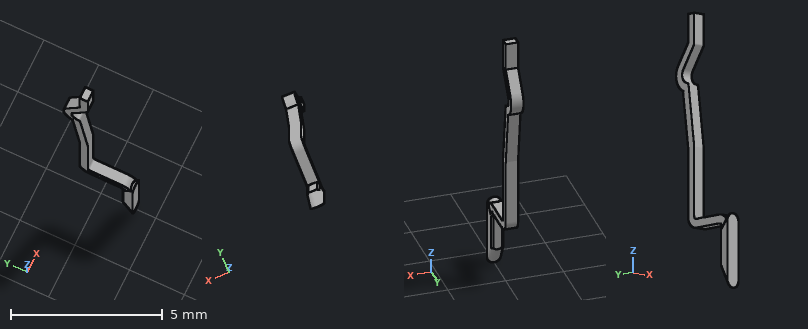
import cadquery as cq
import math

height = 9.4
depth = 2.55
pad_width = 0.5
pad_back_width = 0.42

strip_width = 0.43
thickness = 0.3
stem_front = 1.65
stem_back = stem_front + thickness
arm_top = 2.49
arm_bottom = arm_top - thickness
bend_inner_radius = 0.09
bend_outer_radius = bend_inner_radius + thickness
pad_bend_inner_radius = 0.15

bulge_inner_radius = 0.3
bulge_outer_radius = bulge_inner_radius + thickness
bulge_y = depth - bulge_outer_radius
bulge_z = 7.39
upper_lean = math.radians(34.5)
lower_lean = math.radians(7.5)
lean_start_z = 4.92
front_corner_radius = 0.09

pad_depth = 0.42
pad_top = 2.5
pad_top_slope = math.radians(45)
pad_bottom_slope = math.radians(60)
pad_edge_chamfer = 0.07


def bulge_point(radius, angle):
    """Point (Y, Z) on a circle about the bulge centre, angle taken from +Y."""
    return (bulge_y + radius * math.cos(angle), bulge_z + radius * math.sin(angle))


def upper_corner(face_y, radius):
    """Point where the line tangent to the bulge meets a face of the upper tip."""
    rise = (radius - (face_y - bulge_y) * math.cos(upper_lean)) / math.sin(upper_lean)
    return (face_y, bulge_z + rise)


def lower_end_angle(face_y, corner_z, radius):
    """Angle at which a face of the lower leaning leg meets the bulge circle."""
    offset = (face_y - bulge_y) * math.cos(lower_lean)
    offset += (bulge_z - corner_z) * math.sin(lower_lean)
    return -lower_lean - math.acos(offset / radius)


def bulge_arc(radius, end_angle):
    """Start, middle and end of a bulge arc, from the upper tangent point downward."""
    middle_angle = (upper_lean + end_angle) / 2
    return [bulge_point(radius, angle) for angle in (upper_lean, middle_angle, end_angle)]


def make_strip():
    back_lean_z = lean_start_z - thickness * math.tan(lower_lean / 2)
    outer_end = lower_end_angle(stem_back, back_lean_z, bulge_outer_radius)
    inner_end = lower_end_angle(stem_front, lean_start_z, bulge_inner_radius)
    outer_arc = bulge_arc(bulge_outer_radius, outer_end)
    inner_arc = bulge_arc(bulge_inner_radius, inner_end)

    stem_bend_y = stem_front - bend_inner_radius
    stem_bend_z = arm_top + bend_inner_radius
    pad_bend_y = pad_bend_inner_radius + thickness
    pad_bend_z = arm_top - pad_bend_y
    diagonal = math.sqrt(0.5)
    outer_diagonal = bend_outer_radius * diagonal
    inner_diagonal = bend_inner_radius * diagonal
    pad_outer_diagonal = pad_bend_y * diagonal
    pad_inner_diagonal = pad_bend_inner_radius * diagonal

    profile = (
        cq.Workplane("YZ")
        .moveTo(stem_front, height)
        .lineTo(stem_back, height)
        .lineTo(*upper_corner(stem_back, bulge_outer_radius))
        .lineTo(*outer_arc[0])
        .threePointArc(outer_arc[1], outer_arc[2])
        .lineTo(stem_back, back_lean_z)
        .lineTo(stem_back, stem_bend_z)
        .threePointArc(
            (stem_bend_y + outer_diagonal, stem_bend_z - outer_diagonal),
            (stem_bend_y, arm_bottom),
        )
        .lineTo(pad_bend_y, arm_bottom)
        .threePointArc(
            (pad_bend_y - pad_inner_diagonal, pad_bend_z + pad_inner_diagonal),
            (thickness, pad_bend_z),
        )
        .lineTo(0, pad_bend_z)
        .threePointArc(
            (pad_bend_y - pad_outer_diagonal, pad_bend_z + pad_outer_diagonal),
            (pad_bend_y, arm_top),
        )
        .lineTo(stem_bend_y, arm_top)
        .threePointArc(
            (stem_bend_y + inner_diagonal, stem_bend_z - inner_diagonal),
            (stem_front, stem_bend_z),
        )
        .lineTo(stem_front, lean_start_z)
        .lineTo(*inner_arc[2])
        .threePointArc(inner_arc[1], inner_arc[0])
        .lineTo(*upper_corner(stem_front, bulge_inner_radius))
        .close()
    )
    strip = profile.extrude(strip_width / 2, both=True)

    upper_front_corner = upper_corner(stem_front, bulge_inner_radius)
    for y, z in (upper_front_corner, inner_arc[2]):
        corner_edge = cq.selectors.NearestToPointSelector((0, y, z))
        strip = strip.edges(corner_edge).fillet(front_corner_radius)
    return strip


def pad_outline(y, width, bottom, top):
    """Closed outline in the XZ plane: straight sides with half-round ends."""
    radius = width / 2
    return (
        cq.Workplane("XZ", origin=(0, y, 0))
        .moveTo(-radius, bottom + radius)
        .threePointArc((0, bottom), (radius, bottom + radius))
        .lineTo(radius, top - radius)
        .threePointArc((0, top), (-radius, top - radius))
        .close()
        .wires()
        .val()
    )


def make_pad():
    back_top = pad_top - pad_depth * math.tan(pad_top_slope)
    back_bottom = pad_depth * math.tan(pad_bottom_slope)
    front = pad_outline(0, pad_width, 0, pad_top)
    back = pad_outline(pad_depth, pad_back_width, back_bottom, back_top)
    pad = cq.Workplane(cq.Solid.makeLoft([front, back], True))

    half_width = pad_width / 2
    bevel_back_x = strip_width / 2 - pad_edge_chamfer
    bevel_front_y = pad_depth - (half_width - bevel_back_x)
    section = (
        cq.Workplane("XY")
        .moveTo(-half_width, 0)
        .lineTo(half_width, 0)
        .lineTo(half_width, bevel_front_y)
        .lineTo(bevel_back_x, pad_depth)
        .lineTo(-bevel_back_x, pad_depth)
        .lineTo(-half_width, bevel_front_y)
        .close()
        .extrude(pad_top)
    )
    return pad.intersect(section)


result = make_strip().union(make_pad())